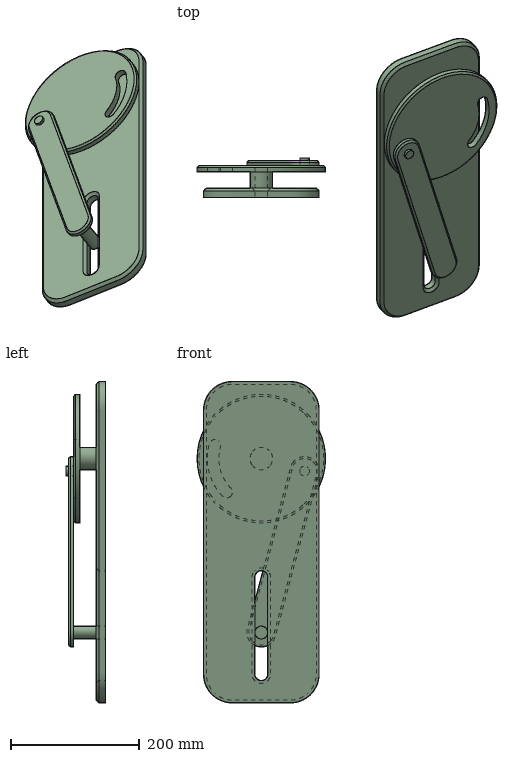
import cadquery as cq
import math


plate_width = 180
plate_height = 500
plate_thickness = 15
plate_corner_radius = 45
plate_chamfer = 4.5
slot_width = 20
slot_top = -44.5
slot_bottom = -215

disc_diameter = 200
disc_z = 130
disc_front = 40
disc_thickness = 10
disc_chamfer = 3.0
shaft_diameter = 35
crank_radius = 70
crank_angle = -16
crank_pin_diameter = 15
crank_pin_end = 62.0

window_radius = 75
window_width = 18.0
window_sweep = 60

link_length = 260
link_end_radius = 22.5
link_thickness = 8.0
link_chamfer = 3.0
slider_pin_diameter = 20

disc_back = disc_front + disc_thickness
link_back = disc_back + link_thickness
crank_x = crank_radius * math.cos(math.radians(crank_angle))
crank_z = disc_z + crank_radius * math.sin(math.radians(crank_angle))
slider_z = crank_z - math.sqrt(link_length**2 - crank_x**2)


def plane_at(y, x=0, z=0):
    """Sketch plane facing +Y, with local axes (-X, Z)."""
    return cq.Workplane(cq.Plane(origin=(x, y, z), xDir=(-1, 0, 0), normal=(0, 1, 0)))


def cylinder(diameter, y_start, y_end, x=0, z=0):
    return plane_at(y_start, x, z).circle(diameter / 2).extrude(y_end - y_start)


def make_plate():
    plate = plane_at(0).rect(plate_width, plate_height).extrude(plate_thickness)
    plate = plate.edges("|Y").fillet(plate_corner_radius)
    slot = (
        plane_at(0, z=(slot_top + slot_bottom) / 2)
        .slot2D(slot_top - slot_bottom, slot_width, 90)
        .extrude(plate_thickness)
    )
    return plate.cut(slot).faces(">Y").chamfer(plate_chamfer)


def disc_point(radius, angle):
    """Point on the disc sketch plane; angle in degrees from +X toward +Z."""
    turn = math.radians(angle)
    return -radius * math.cos(turn), radius * math.sin(turn)


def make_window():
    start = crank_angle + 180
    middle = start + window_sweep / 2
    end = start + window_sweep
    inner = window_radius - window_width / 2
    outer = window_radius + window_width / 2
    end_cap = math.degrees(window_width / 2 / window_radius)
    return (
        plane_at(disc_front, z=disc_z)
        .moveTo(*disc_point(outer, start))
        .threePointArc(disc_point(outer, middle), disc_point(outer, end))
        .threePointArc(disc_point(window_radius, end + end_cap), disc_point(inner, end))
        .threePointArc(disc_point(inner, middle), disc_point(inner, start))
        .threePointArc(disc_point(window_radius, start - end_cap), disc_point(outer, start))
        .close()
        .extrude(disc_thickness)
    )


def make_crank():
    disc = cylinder(disc_diameter, disc_front, disc_back, z=disc_z).faces(">Y").chamfer(disc_chamfer)
    shaft = cylinder(shaft_diameter, plate_thickness, disc_front, z=disc_z)
    pin = cylinder(crank_pin_diameter, disc_back, crank_pin_end, crank_x, crank_z)
    return disc.cut(make_window()).union(shaft).union(pin)


def make_link():
    tilt = math.degrees(math.atan2(crank_z - slider_z, -crank_x))
    bar = (
        plane_at(disc_back, crank_x / 2, (crank_z + slider_z) / 2)
        .slot2D(link_length + 2 * link_end_radius, 2 * link_end_radius, tilt)
        .extrude(link_thickness)
        .faces(">Y")
        .chamfer(link_chamfer)
    )
    pin_hole = cylinder(crank_pin_diameter, disc_back, link_back, crank_x, crank_z)
    slider_pin = cylinder(slider_pin_diameter, 0, disc_back, z=slider_z)
    return bar.cut(pin_hole).union(slider_pin)


plate = make_plate()
crank = make_crank()
link = make_link()

result = cq.Compound.makeCompound([plate.val(), crank.val(), link.val()])